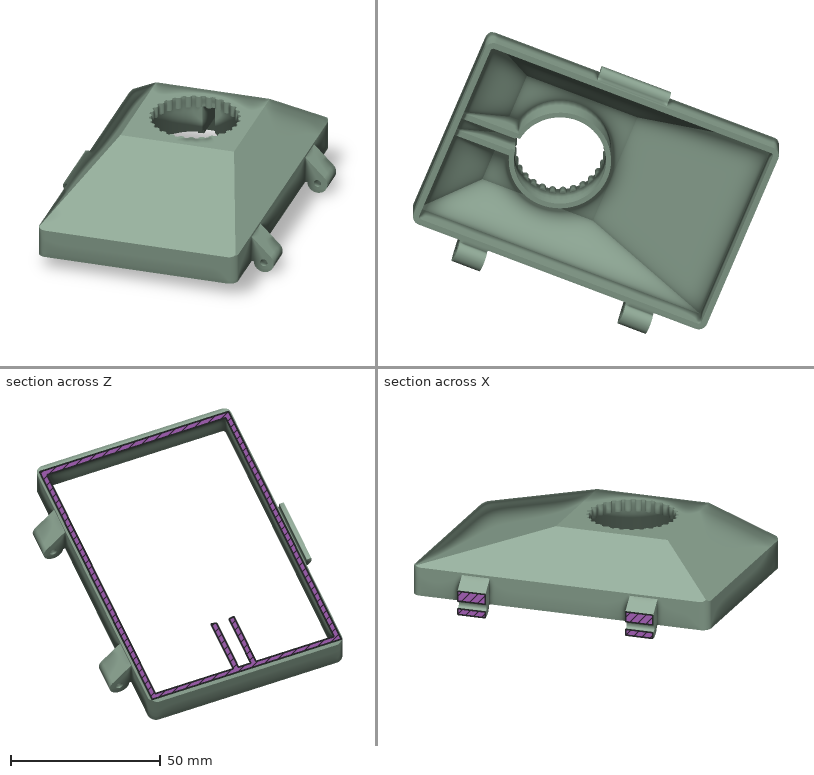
import cadquery as cq
import math

body_width = 70.0
body_length = 106.0
rim_height = 10.0
total_height = 25.0
corner_radius = 3.0
wall = 2.0

top_side = 40.0
top_center_y = 13.0

bore_radius = 15.5
socket_wall = 1.7
socket_depth = 13.6
socket_bottom = total_height - socket_depth
rib_count = 28
rib_inset = 0.3
rib_center_radius = bore_radius + rib_inset
rib_diameter = 2.4
rib_height = 4.0

slot_width = 4.3
plate_thickness = 2.0

ear_length = 10.0
ear_inner_y = 25.0
knuckle_radius = 3.5
pin_diameter = 2.5
pin_offset = 4.2
pin_x = body_width / 2 + pin_offset

hook_length = 25.0
hook_center_y = 1.0
hook_axis_z = 5.3
hook_root_radius = 1.0
hook_outer_radius = 2.8
hook_top = 6.1


def hipped_block(width, length, base_height, height, top_width, corner):
    """Straight-sided base under four slopes rising to the offset square top."""
    base = cq.Workplane("XY").rect(width, length).extrude(base_height)
    roof = (
        cq.Workplane("XY")
        .workplane(offset=base_height)
        .rect(width, length)
        .workplane(offset=height - base_height)
        .center(0, top_center_y)
        .rect(top_width, top_width)
        .loft(ruled=True)
    )
    rounded = cq.Workplane("XY").rect(width, length).extrude(height).edges("|Z").fillet(corner)
    return base.union(roof).intersect(rounded)


def make_outer():
    return hipped_block(body_width, body_length, rim_height, total_height, top_side, corner_radius)


def make_cavity():
    return hipped_block(
        body_width - 2 * wall,
        body_length - 2 * wall,
        rim_height,
        total_height - wall,
        top_side,
        corner_radius - wall,
    )


def socket_cylinder(radius, bottom):
    return (
        cq.Workplane("XY")
        .workplane(offset=bottom)
        .center(0, top_center_y)
        .circle(radius)
        .extrude(total_height - bottom)
    )


def make_slot_strip(width, bottom, top):
    """Straight strip running from the socket centre to the +Y end of the lid."""
    run = body_length / 2 - wall / 2 - top_center_y
    return (
        cq.Workplane("XY")
        .workplane(offset=bottom)
        .center(0, top_center_y + run / 2)
        .rect(width, run)
        .extrude(top - bottom)
    )


def make_ribs():
    return (
        cq.Workplane("XY")
        .workplane(offset=total_height - rib_height)
        .center(0, top_center_y)
        .polarArray(rib_center_radius, 0, 360, rib_count)
        .circle(rib_diameter / 2)
        .extrude(rib_height)
    )


def make_ear(y_start):
    """Arm sloping down at 45 degrees, tangent to the knuckle."""
    tangent = knuckle_radius * math.sqrt(0.5)
    side_x = body_width / 2 - wall / 2
    arm_top = tangent + (pin_x + tangent - side_x)
    arm = (
        cq.Workplane("XZ", origin=(0, y_start + ear_length, 0))
        .moveTo(side_x, 0)
        .lineTo(pin_x, 0)
        .lineTo(pin_x + tangent, tangent)
        .lineTo(side_x, arm_top)
        .close()
        .extrude(ear_length)
    )
    knuckle = (
        cq.Workplane("XZ", origin=(pin_x, y_start + ear_length, 0))
        .circle(knuckle_radius)
        .extrude(ear_length)
    )
    pin_hole = (
        cq.Workplane("XZ", origin=(pin_x, y_start + ear_length, 0))
        .circle(pin_diameter / 2)
        .extrude(ear_length)
    )
    return arm.union(knuckle).cut(pin_hole)


def make_hook():
    """Lip curling up around an axis that sits one root radius off the wall."""
    side_x = -body_width / 2
    embedded_x = side_x + wall / 2
    axis_x = side_x - hook_root_radius
    underside = hook_axis_z - hook_outer_radius
    tip_rise = hook_top - hook_axis_z
    tip_outer_x = axis_x - math.sqrt(hook_outer_radius**2 - tip_rise**2)
    tip_inner_x = axis_x - hook_root_radius
    root_dip = hook_root_radius * math.sqrt(0.5)
    return (
        cq.Workplane("XZ", origin=(0, hook_center_y + hook_length / 2, 0))
        .moveTo(embedded_x, hook_axis_z)
        .lineTo(side_x, hook_axis_z)
        .threePointArc((axis_x, hook_axis_z - hook_root_radius), (tip_inner_x, hook_axis_z))
        .lineTo(tip_inner_x, hook_top)
        .lineTo(tip_outer_x, hook_top)
        .threePointArc((axis_x - hook_outer_radius, hook_axis_z), (axis_x, underside))
        .threePointArc(
            (side_x - hook_root_radius + root_dip, underside - hook_root_radius + root_dip),
            (side_x, underside - hook_root_radius),
        )
        .lineTo(embedded_x, underside - hook_root_radius)
        .close()
        .extrude(hook_length)
    )


outer = make_outer()
rib_bottom = total_height - rib_height
plates = make_slot_strip(slot_width + 2 * plate_thickness, rim_height, total_height).intersect(outer)
result = outer.cut(make_cavity())
result = result.union(plates.cut(socket_cylinder(bore_radius + socket_wall, 0)))
result = result.union(socket_cylinder(bore_radius + socket_wall, socket_bottom))

slot = make_slot_strip(slot_width, 0, rib_bottom).intersect(make_cavity())
result = result.cut(slot)
result = result.cut(socket_cylinder(bore_radius, 0))
result = result.union(make_ribs())

for ear_start in (ear_inner_y, -ear_inner_y - ear_length):
    result = result.union(make_ear(ear_start))
result = result.union(make_hook())